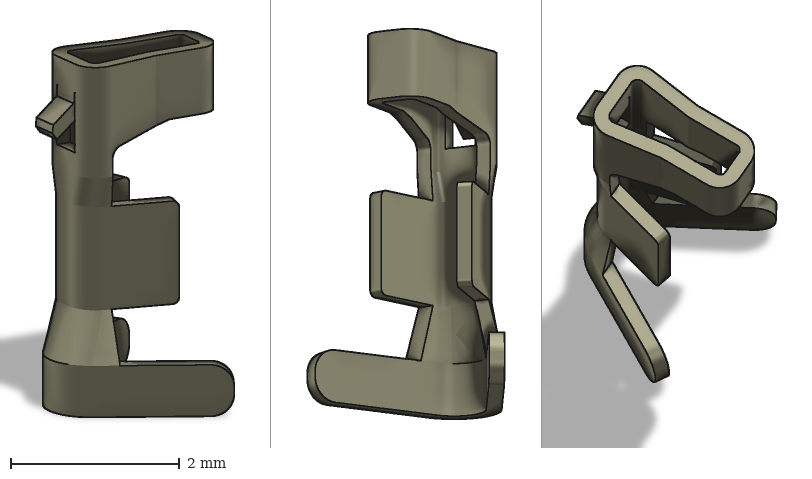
import cadquery as cq
import math

thickness = 0.185

crimp_top = 0.635
wing_bottom = 1.285
wing_top = 2.56
box_front_bottom = 2.933
box_wall_bottom = 3.485
total_height = 4.3

spine_rear_y = 0.35

box_flat_half = 0.23
box_bend_radius = 0.275
box_bend_angle = 97.9
box_rear_half_width = 0.405
box_rear_y = 1.935
box_rear_radius = 0.285
rear_bend_middle_angle = 135.0
box_rear_inner_radius = 0.07
slope_start_y = 1.19
slope_end_z = 3.26
slope_fillet = 0.15

wing_flat_half = 0.13
wing_bend_radius = 0.325
wing_bend_angle = 75.0
wing_length = 0.945
wing_corner_radius = 0.085

crimp_front_y = -0.225
crimp_bend_radius = 0.568
crimp_bend_angle = 60.0
crimp_middle_angle = 30.0
crimp_length = 1.69
crimp_corner_radius = 0.28

window_half_width = 0.2
window_bottom = 3.208
window_top = 3.945
tab_half_width = 0.19
tab_outer_z = 3.82
tab_bend_start_z = 3.845
tab_bend_end_y = -0.01
tab_inner_z = 3.59
tab_slope = 0.787
tab_corner_y = -0.292
tab_nose = (-0.305, 3.487)
tab_end_y = -0.24


def mirrored(point):
    return (-point[0], point[1])


def bend_point(center, radius, angle):
    """Point on a bend; angle zero faces forward (-Y) and grows toward +X."""
    turn = math.radians(angle)
    return (center[0] + radius * math.sin(turn), center[1] - radius * math.cos(turn))


def move_along(point, angle, distance):
    turn = math.radians(angle)
    return (point[0] + distance * math.cos(turn), point[1] + distance * math.sin(turn))


def cut_at_y(point, angle, y):
    """Follow a straight leg from a point until it reaches the given Y."""
    return move_along(point, angle, (y - point[1]) / math.sin(math.radians(angle)))


def channel(z, center, radius, start_angle, end_angle, middle_round=False, leg_length=None):
    """U-shaped sheet section: middle, two bends and two straight legs.

    Legs end square after leg_length, or at the rear edge of the spine if it is None.
    """
    middle_angle = (start_angle + end_angle) / 2

    def side_points(bend_radius):
        start = bend_point(center, bend_radius, start_angle)
        middle = bend_point(center, bend_radius, middle_angle)
        tangent = bend_point(center, bend_radius, end_angle)
        if leg_length is None:
            tip = cut_at_y(tangent, end_angle, spine_rear_y)
        else:
            tip = move_along(tangent, end_angle, leg_length)
        return start, middle, tangent, tip

    def middle_to(section, end, bend_radius):
        if middle_round:
            return section.threePointArc((0, center[1] - bend_radius), end)
        return section.lineTo(*end)

    inner_radius = radius - thickness
    start, middle, tangent, tip = side_points(radius)
    in_start, in_middle, in_tangent, in_tip = side_points(inner_radius)

    section = cq.Workplane("XY").workplane(offset=z).moveTo(*mirrored(tip)).lineTo(*mirrored(tangent))
    section = section.threePointArc(mirrored(middle), mirrored(start))
    section = middle_to(section, start, radius)
    section = section.threePointArc(middle, tangent).lineTo(*tip).lineTo(*in_tip).lineTo(*in_tangent)
    section = section.threePointArc(in_middle, in_start)
    section = middle_to(section, mirrored(in_start), inner_radius)
    section = section.threePointArc(mirrored(in_middle), mirrored(in_tangent))
    return section.lineTo(*mirrored(in_tip)).close()


def box_channel(z):
    return channel(z, (box_flat_half, box_bend_radius), box_bend_radius, 0, box_bend_angle)


def wing_channel(z, leg_length=None):
    center = (wing_flat_half, wing_bend_radius)
    return channel(z, center, wing_bend_radius, 0, wing_bend_angle, leg_length=leg_length)


def crimp_channel(z, leg_length=None):
    center = (0, crimp_front_y + crimp_bend_radius)
    return channel(z, center, crimp_bend_radius, crimp_middle_angle, crimp_bend_angle, True, leg_length)


def transition(lower, upper):
    """Straight-ruled blend between two sections with matching edges."""
    wires = [lower.wire().val(), upper.wire().val()]
    return cq.Workplane(obj=cq.Solid.makeLoft(wires, True))


def winged_band(section, height, leg_angle, corner_radius):
    """Extrude a channel and round the corners of its two tips, which face along the legs."""
    band = section.extrude(height)
    for side in (1, -1):
        leg_turn = math.radians(leg_angle)
        outward = cq.Vector(side * math.cos(leg_turn), math.sin(leg_turn), 0)
        tip = band.faces(cq.selectors.DirectionMinMaxSelector(outward))
        band = tip.edges("#Z").fillet(corner_radius)
    return band


def box_prism(inset, rear_radius):
    """Box outline moved inward by inset, extruded over the full box height."""
    center = (box_flat_half, box_bend_radius)
    radius = box_bend_radius - inset
    start = bend_point(center, radius, 0)
    middle = bend_point(center, radius, box_bend_angle / 2)
    tangent = bend_point(center, radius, box_bend_angle)
    half_width = box_rear_half_width - inset
    rear_y = box_rear_y - inset
    kink_distance = (half_width - tangent[0]) / math.cos(math.radians(box_bend_angle))
    kink = move_along(tangent, box_bend_angle, kink_distance)
    rear_side = (half_width, rear_y - rear_radius)
    rear_center = (half_width - rear_radius, rear_y - rear_radius)
    rear_middle = bend_point(rear_center, rear_radius, rear_bend_middle_angle)
    rear_flat = (half_width - rear_radius, rear_y)
    outline = cq.Workplane("XY").workplane(offset=box_front_bottom).moveTo(*mirrored(start)).lineTo(*start)
    outline = outline.threePointArc(middle, tangent).lineTo(*kink).lineTo(*rear_side)
    outline = outline.threePointArc(rear_middle, rear_flat).lineTo(*mirrored(rear_flat))
    outline = outline.threePointArc(mirrored(rear_middle), mirrored(rear_side)).lineTo(*mirrored(kink))
    outline = outline.lineTo(*mirrored(tangent)).threePointArc(mirrored(middle), mirrored(start)).close()
    return outline.extrude(total_height - box_front_bottom)


def side_prism(points, half_width):
    """Extrude a (Y, Z) outline symmetrically about the middle plane."""
    return cq.Workplane("YZ").polyline(points).close().extrude(half_width, both=True)


def box():
    body = box_prism(0, box_rear_radius).cut(box_prism(thickness, box_rear_inner_radius))
    relief = side_prism(
        [
            (spine_rear_y, 0),
            (spine_rear_y, slope_end_z),
            (slope_start_y, box_wall_bottom),
            (2 * box_rear_y, box_wall_bottom),
            (2 * box_rear_y, 0),
        ],
        2 * box_rear_half_width,
    )
    slope_corner = cq.selectors.NearestToPointSelector((0, spine_rear_y, slope_end_z))
    relief = relief.edges("|X").edges(slope_corner).fillet(slope_fillet)
    window = side_prism(
        [(0, window_bottom), (thickness, window_bottom), (thickness, window_top), (0, window_top)],
        window_half_width,
    )
    return body.cut(relief).cut(window)


def latch_tab():
    return side_prism(
        [
            (thickness, window_top),
            (0, window_top),
            (0, tab_bend_start_z),
            (tab_bend_end_y, tab_outer_z + tab_slope * tab_bend_end_y),
            (tab_corner_y, tab_outer_z + tab_slope * tab_corner_y),
            tab_nose,
            (tab_end_y, tab_inner_z + tab_slope * tab_end_y),
            (thickness, tab_inner_z + tab_slope * thickness),
        ],
        tab_half_width,
    )


crimp = winged_band(crimp_channel(0, crimp_length), crimp_top, crimp_bend_angle, crimp_corner_radius)
wing_height = wing_top - wing_bottom
wings = winged_band(
    wing_channel(wing_bottom, wing_length), wing_height, wing_bend_angle, wing_corner_radius
)
lower_neck = transition(crimp_channel(crimp_top), wing_channel(wing_bottom))
upper_neck = transition(wing_channel(wing_top), box_channel(box_front_bottom))

result = crimp.union(lower_neck).union(wings).union(upper_neck).union(box()).union(latch_tab())